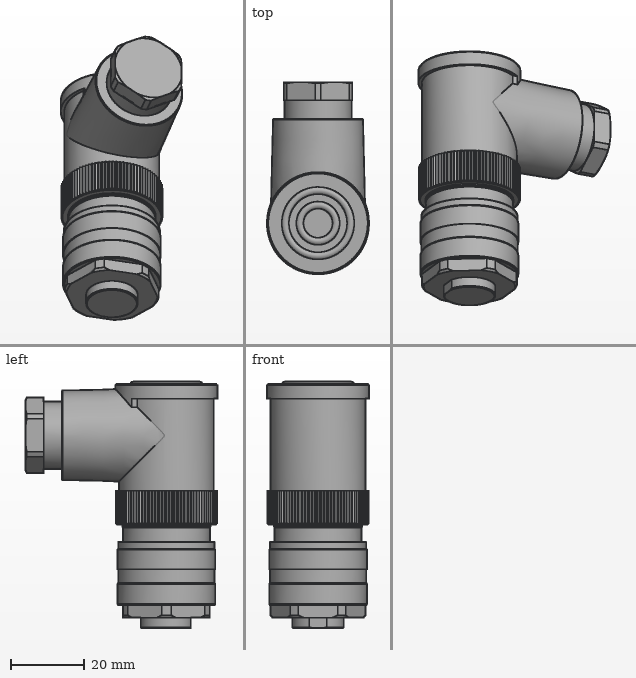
import cadquery as cq
import math


total_height = 67.4
ring_bump_height = 0.7
cap_top = total_height - ring_bump_height
cap_thickness = 4.0
cap_bottom = cap_top - cap_thickness
arm_axis_z = 52.7
knurl_top = 37.5
knurl_bottom = 28.3
coupling_top = 23.65
upper_band_top = 21.35
upper_band_bottom = 16.05
lower_band_top = 12.0
lower_band_bottom = 6.6
hex_top = 6.3
hex_bottom = 2.8

barrel_radius = 13.0
cap_width = 28.0
cap_radius = cap_width / 2
cap_chamfer = 0.4
bump_width = 1.95
bump_outer_radii = (5.9, 9.9)
skirt_half_width = 10.25

knurl_radius = 13.9
knurl_depth = 0.4
knurl_teeth = 90
knurl_chamfer = 0.4

overall_depth = 52.5
gland_end = overall_depth - cap_radius
gland_nut_length = 5.0
gland_nut_apothem = 9.4
gland_nut_corner_radius = 10.4
gland_nut_chamfer = 0.35
gland_nut_end_radius = 9.5
gland_neck_radius = 9.25
arm_end = 28.6
arm_end_radius = 12.35
arm_end_chamfer = 0.3

collar_radius = 12.05
collar_height = 0.5
collar_taper_height = 0.4
neck_radius = 11.9
coupling_radius = 13.2
coupling_top_chamfer = 0.2
band_radius = 13.4
band_bevel_height = 0.35
plug_hex_apothem = 11.85
plug_hex_corner_radius = 13.0
plug_hex_end_radius = 12.5
plug_hex_chamfer_height = 0.7
nose_radius = 7.1
nose_chamfer = 0.3
nose_flat_offset = 6.7


def revolved(profile):
    """Turn an open (radius, height) outline about the Z axis; the axis closes it."""
    start = (0, profile[0][1])
    end = (0, profile[-1][1])
    outline = cq.Workplane("XZ").polyline([start, *profile, end]).close()
    return outline.revolve(360, (0, 0), (0, 1))


def on_arm(shape):
    """Move a shape built along Z onto the arm axis, so that its +Z runs along +Y."""
    return shape.rotate((0, 0, 0), (1, 0, 0), -90).translate((0, 0, arm_axis_z))


def hexagon(apothem, bottom, top):
    """Hexagonal prism along Z with two corners on the X axis."""
    corner_diameter = 2 * apothem / math.cos(math.pi / 6)
    return cq.Workplane("XY").workplane(offset=bottom).polygon(6, corner_diameter).extrude(top - bottom)


def ring_bump(outer):
    """Raised ring of circular-arc section on the cap."""
    inner = outer - bump_width
    mid_radius = (inner + outer) / 2
    section = (
        cq.Workplane("XZ")
        .moveTo(inner, cap_top)
        .threePointArc((mid_radius, cap_top + ring_bump_height), (outer, cap_top))
        .close()
    )
    return section.revolve(360, (0, 0), (0, 1))


def make_cap():
    cap = revolved([
        (cap_radius, cap_bottom),
        (cap_radius, cap_top - cap_chamfer),
        (cap_radius - cap_chamfer, cap_top),
    ])
    for outer_radius in bump_outer_radii:
        cap = cap.union(ring_bump(outer_radius))
    return cap


def make_skirt():
    """Flat-sided part of the cap that reaches down onto the back of the arm."""
    height = cap_bottom - arm_axis_z
    block = cq.Workplane("XY").workplane(offset=arm_axis_z).rect(
        2 * skirt_half_width, cap_radius).extrude(height).translate((0, cap_radius / 2, 0))
    disc = cq.Workplane("XY").workplane(offset=arm_axis_z).circle(cap_radius).extrude(height)
    return block.intersect(disc)


def make_arm():
    """Slightly tapered arm that is as wide as the barrel where the two axes cross."""
    return on_arm(revolved([
        (barrel_radius, 0),
        (arm_end_radius, arm_end - arm_end_chamfer),
        (arm_end_radius - arm_end_chamfer, arm_end),
        (gland_neck_radius, arm_end),
        (gland_neck_radius, gland_end - gland_nut_length),
    ]))


def make_gland_nut():
    nut_start = gland_end - gland_nut_length
    corner_limit = revolved([
        (gland_nut_corner_radius, nut_start),
        (gland_nut_corner_radius, gland_end - gland_nut_chamfer),
        (gland_nut_end_radius, gland_end),
    ])
    nut = hexagon(gland_nut_apothem, nut_start, gland_end).rotate((0, 0, 0), (0, 0, 1), 90)
    return on_arm(nut.intersect(corner_limit))


def make_knurl():
    """Toothed collar with V-shaped teeth and a chamfered lower edge."""
    points = []
    for i in range(2 * knurl_teeth):
        angle = math.pi * i / knurl_teeth
        radius = knurl_radius - knurl_depth * (i % 2)
        points.append((radius * math.cos(angle), radius * math.sin(angle)))
    toothed = cq.Workplane("XY").workplane(offset=knurl_bottom).polyline(points).close()
    toothed = toothed.extrude(knurl_top - knurl_bottom)
    envelope = revolved([
        (knurl_radius - knurl_chamfer, knurl_bottom),
        (knurl_radius, knurl_bottom + knurl_chamfer),
        (knurl_radius, knurl_top),
    ])
    return toothed.intersect(envelope)


def make_housing():
    barrel = revolved([(barrel_radius, knurl_top), (barrel_radius, cap_bottom)])
    housing = barrel.union(make_arm()).union(make_gland_nut())
    housing = housing.union(make_skirt()).union(make_cap())
    return housing.union(make_knurl())


def make_plug_sleeve():
    """Turned part of the plug: collar, neck and coupling ring with two grip bands."""
    collar_bottom = knurl_bottom - collar_height
    return revolved([
        (collar_radius, knurl_bottom),
        (collar_radius, collar_bottom),
        (neck_radius, collar_bottom - collar_taper_height),
        (neck_radius, coupling_top),
        (coupling_radius - coupling_top_chamfer, coupling_top),
        (coupling_radius, coupling_top - coupling_top_chamfer),
        (coupling_radius, upper_band_top + band_bevel_height),
        (band_radius, upper_band_top),
        (band_radius, upper_band_bottom),
        (coupling_radius, upper_band_bottom),
        (coupling_radius, lower_band_top + band_bevel_height),
        (band_radius, lower_band_top),
        (band_radius, lower_band_bottom),
        (coupling_radius, hex_top),
    ])


def make_plug_hex():
    corner_limit = revolved([
        (plug_hex_end_radius, hex_bottom),
        (plug_hex_corner_radius, hex_bottom + plug_hex_chamfer_height),
        (plug_hex_corner_radius, hex_top),
    ])
    return hexagon(plug_hex_apothem, hex_bottom, hex_top).intersect(corner_limit)


def make_plug_nose():
    """Round nose with one flat on its -Y side."""
    nose = revolved([
        (nose_radius - nose_chamfer, 0),
        (nose_radius, nose_chamfer),
        (nose_radius, hex_bottom),
    ])
    flat_depth = nose_radius - nose_flat_offset
    flat_cutter = cq.Workplane("XY").rect(2 * nose_radius, flat_depth).extrude(hex_bottom)
    return nose.cut(flat_cutter.translate((0, -nose_flat_offset - flat_depth / 2, 0)))


def make_plug():
    return make_plug_sleeve().union(make_plug_hex()).union(make_plug_nose())


housing = make_housing()
plug = make_plug()

result = cq.Compound.makeCompound([housing.val(), plug.val()])